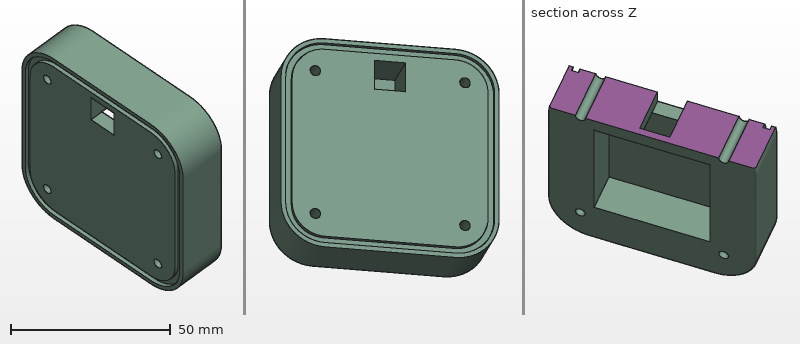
import cadquery as cq

side = 70.0
thickness = 18.0
corner_radius = 14.0
back_edge_radius = 1.05

rim_width = 1.5
groove_width = 2.1
groove_depth = 1.5

hole_diameter = 3.3
hole_spacing = 48.0

cavity_side = 38.8
panel_thickness = 5.0
port_width = 9.95
port_height = 9.65
port_back_wall = 2.5

front_y = -thickness / 2
back_y = thickness / 2
cavity_floor_y = front_y + panel_thickness


def block(width, height, start_y, end_y, center_z=0.0):
    """Box between two Y positions, centred on X = 0."""
    length = end_y - start_y
    return cq.Workplane("XY").box(width, length, height).translate((0, start_y + length / 2, center_z))


def rounded_block(inset, start_y, end_y):
    """Block whose outline runs parallel to the housing, inset from its sides."""
    width = side - 2 * inset
    return block(width, width, start_y, end_y).edges("|Y").fillet(corner_radius - inset)


def make_housing():
    return rounded_block(0, front_y, back_y).faces(">Y").edges().fillet(back_edge_radius)


def cut_front_groove(body):
    recess = rounded_block(rim_width, front_y, front_y + groove_depth)
    panel = rounded_block(rim_width + groove_width, front_y, front_y + groove_depth)
    return body.cut(recess.cut(panel))


def cut_cavity(body):
    return body.cut(block(cavity_side, cavity_side, cavity_floor_y, back_y))


def cut_cable_port(body):
    port_center_z = (cavity_side + port_height) / 2
    return body.cut(block(port_width, port_height, front_y, back_y - port_back_wall, port_center_z))


def cut_screw_holes(body):
    holes = (
        cq.Workplane("XZ", origin=(0, back_y, 0))
        .rect(hole_spacing, hole_spacing, forConstruction=True)
        .vertices()
        .circle(hole_diameter / 2)
        .extrude(thickness)
    )
    return body.cut(holes)


result = make_housing()
result = cut_front_groove(result)
result = cut_cavity(result)
result = cut_cable_port(result)
result = cut_screw_holes(result)